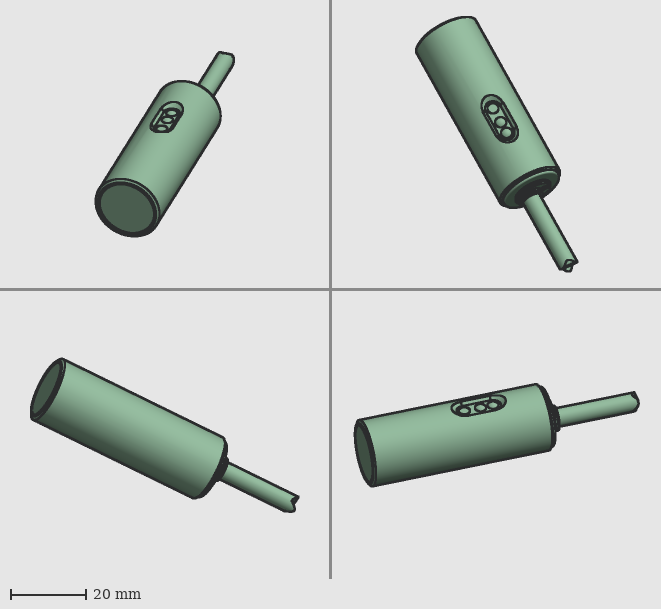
import cadquery as cq

total_length = 75.35
body_diameter = 18.0
body_radius = body_diameter / 2

front_chamfer_length = 0.6
rim_setback = 0.1
rim_outer_radius = 8.2
groove_outer_radius = 8.1
lens_radius = 7.7
groove_bottom = 0.2

shoulder_y = 49.6
shoulder_chamfer_length = 0.45
shoulder_inner_radius = 8.5
cap_diameter = 16.4
cap_radius = cap_diameter / 2
cap_end = 50.9
cap_rounding = 0.5
collar_diameter = 10.5
collar_radius = collar_diameter / 2
neck_radius = 5.05
neck_end = 51.3
collar_end = 51.9
collar_chamfer = 0.45

cable_offset = 1.3
cable_diameter = 5.05
cable_radius = cable_diameter / 2
boss_diameter = 6.9
boss_end = 53.05
boss_chamfer_width = 0.15
boss_chamfer_length = 0.45
pin_diameter = 3
pin_offset = -3
pin_end = 52.6

cut_depth = 1.5
top_edge_y = 74.2
crest_z = 1.8
trough_z = -1.05
break_end_slope = -0.3
cut_overrun = 0.75

panel_front = 27.95
panel_rear = 35.95
panel_length = panel_rear - panel_front
floor_z = 7.7
floor_radius = 2.1
recess_height = 1.9
end_slope = 1
side_slope = 1.2

indicator_diameter = 3
indicator_radius = indicator_diameter / 2
lamp_positions = (32.5, panel_rear)
lamp_height = 0.75
button_height = 0.15


def make_body():
    """Revolve the housing, cap and collar around the Y axis."""
    profile = (
        cq.Workplane("XY")
        .lineTo(lens_radius, 0)
        .lineTo(lens_radius, groove_bottom)
        .lineTo(groove_outer_radius, groove_bottom)
        .lineTo(groove_outer_radius, rim_setback)
        .lineTo(rim_outer_radius, rim_setback)
        .lineTo(body_radius, front_chamfer_length)
        .lineTo(body_radius, shoulder_y)
        .lineTo(shoulder_inner_radius, shoulder_y + shoulder_chamfer_length)
        .lineTo(cap_radius, shoulder_y + shoulder_chamfer_length)
        .lineTo(cap_radius, cap_end - cap_rounding)
        .tangentArcPoint((cap_radius - cap_rounding, cap_end), relative=False)
        .lineTo(neck_radius, cap_end)
        .lineTo(neck_radius, neck_end)
        .lineTo(collar_radius, neck_end)
        .lineTo(collar_radius, collar_end - collar_chamfer)
        .lineTo(collar_radius - collar_chamfer, collar_end)
        .lineTo(0, collar_end)
        .close()
    )
    return profile.revolve(360, (0, 0, 0), (0, 1, 0))


def rod(x, diameter, start_y, end_y):
    """Cylinder parallel to Y at the given X position."""
    return (
        cq.Workplane("XZ", origin=(x, start_y, 0))
        .circle(diameter / 2)
        .extrude(start_y - end_y)
    )


def make_boss():
    """Round boss with a slim chamfer, revolved around the cable axis."""
    boss_radius = boss_diameter / 2
    profile = (
        cq.Workplane("XY", origin=(cable_offset, 0, 0))
        .moveTo(0, cap_end)
        .lineTo(boss_radius, cap_end)
        .lineTo(boss_radius, boss_end - boss_chamfer_length)
        .lineTo(boss_radius - boss_chamfer_width, boss_end)
        .lineTo(0, boss_end)
        .close()
    )
    return profile.revolve(360, (0, 0, 0), (0, 1, 0))


def make_cable():
    """Cable with a broken end: an S-shaped wave in the YZ plane."""
    cable = rod(cable_offset, cable_diameter, collar_end, total_length)
    trough_y = total_length - cut_depth
    end_direction = (1, break_end_slope)
    wave = [
        (total_length, crest_z),
        (trough_y, trough_z),
        (total_length, -cable_radius),
    ]
    break_cut = (
        cq.Workplane("YZ", origin=(cable_offset, 0, 0))
        .moveTo(top_edge_y, cable_radius)
        .spline(wave, tangents=[end_direction, end_direction], includeCurrent=True)
        .lineTo(total_length + cut_overrun, -cable_radius)
        .lineTo(total_length + cut_overrun, cable_radius)
        .close()
        .extrude(cable_radius, both=True)
    )
    return cable.cut(break_cut)


def make_recess():
    """Flat-floored recess with conical ends and shallower planar sides."""
    end_top_radius = floor_radius + recess_height * end_slope
    recess = (
        cq.Workplane("XZ", origin=(0, panel_front, floor_z))
        .polyline([
            (-floor_radius, 0),
            (floor_radius, 0),
            (floor_radius + recess_height * side_slope, recess_height),
            (-floor_radius - recess_height * side_slope, recess_height),
        ])
        .close()
        .extrude(-panel_length)
    )
    for end_y in (panel_front, panel_rear):
        cone = cq.Solid.makeCone(
            floor_radius, end_top_radius, recess_height, cq.Vector(0, end_y, floor_z)
        )
        recess = recess.union(cq.Workplane(cone))
    return recess


def make_lamp(y):
    """Spherical dome standing on the panel floor."""
    sphere_radius = (indicator_radius**2 + lamp_height**2) / (2 * lamp_height)
    sphere_z = floor_z + lamp_height - sphere_radius
    return cq.Workplane("XY", origin=(0, y, sphere_z)).sphere(sphere_radius)


def make_button():
    """Low round button on the panel floor."""
    return (
        cq.Workplane("XY", origin=(0, panel_front, floor_z))
        .circle(indicator_radius)
        .extrude(button_height)
    )


result = make_body().cut(make_recess())
for lamp_y in lamp_positions:
    result = result.union(make_lamp(lamp_y))
result = result.union(make_button())
result = result.union(rod(pin_offset, pin_diameter, cap_end, pin_end))
result = result.union(make_boss())
result = result.union(make_cable())